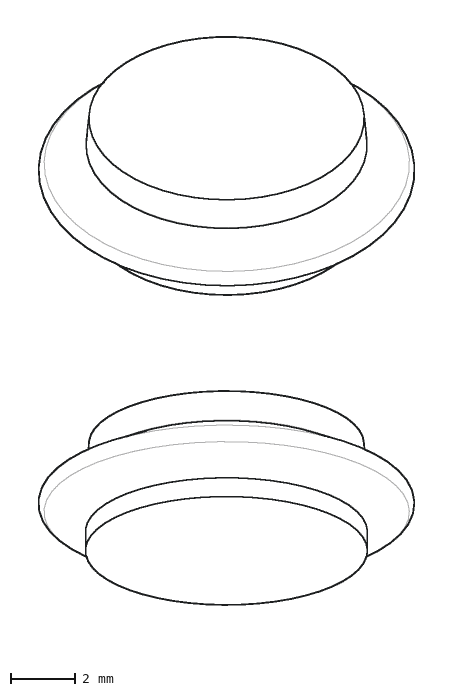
import cadquery as cq
import math

flange_radius = 5.85
neck_radius = 4.39
neck_height = 0.63
flange_root_height = 1.93
rim_round = 0.32
flange_slope = math.radians(28.0)

cap_diameter = 8.74
cap_radius = cap_diameter / 2
cap_land_height = 0.04
cap_top_radius = 4.28
total_height = 3.6

base_height = neck_height + flange_root_height
rim_height = neck_height + flange_root_height / 2

tangent_radius = flange_radius - rim_round * (1 - math.sin(flange_slope))
tangent_offset = rim_round * math.cos(flange_slope)


def make_base():
    """Revolve the half profile of the flanged disc about Z."""
    return (
        cq.Workplane("XZ")
        .lineTo(neck_radius, 0)
        .lineTo(neck_radius, neck_height)
        .lineTo(tangent_radius, rim_height - tangent_offset)
        .threePointArc(
            (flange_radius, rim_height),
            (tangent_radius, rim_height + tangent_offset),
        )
        .lineTo(cap_radius, base_height)
        .lineTo(0, base_height)
        .close()
        .revolve(360, (0, 0, 0), (0, 1, 0))
    )


def make_cap():
    """Revolve the half profile of the tapered disc about Z."""
    return (
        cq.Workplane("XZ")
        .moveTo(0, base_height)
        .lineTo(cap_radius, base_height)
        .lineTo(cap_radius, base_height + cap_land_height)
        .lineTo(cap_top_radius, total_height)
        .lineTo(0, total_height)
        .close()
        .revolve(360, (0, 0, 0), (0, 1, 0))
    )


base = make_base()
cap = make_cap()

result = cq.Compound.makeCompound([base.val(), cap.val()])